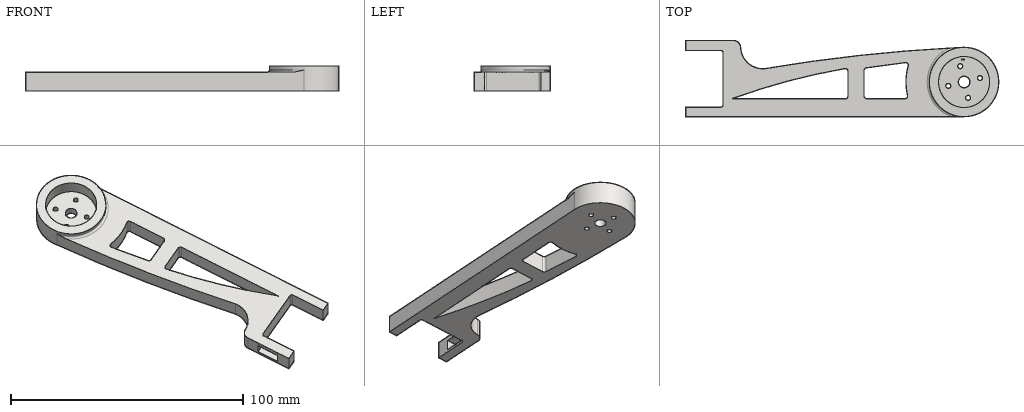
import cadquery as cq
import math

length = 135.0
plate_thickness = 8.2
total_height = 11.0
boss_radius = 15.0
boss_x = length - boss_radius
boss_y = boss_radius
base_fillet = 1.0

fork_width = 33.0
fork_slot_depth = 16.0
fork_slot_bottom = 4.2
fork_slot_top = 28.5
fork_corner_radius = 0.8
shoulder_x = 20.5
shoulder_radius = 3.2
neck_radius = 9.5
neck_low_x = 34.2
neck_low_y = 20.8

prong_slot_start = 5.8
prong_slot_end = 15.5
prong_slot_low = 1.4
prong_slot_high = 6.1

arm_mid = (69.0, 25.8)
arm_end_angle = math.radians(97)

window_bottom = 7.8
window_tip = (20.2, window_bottom)
window_arc_mid = (45.4, 15.7)
strut_start = 69.9
strut_end = 77.0
arch_height_at_strut = 20.9
slope_start = (strut_end, 20.9)
slope_end = (97.2, 23.6)
window_boss_wall = 10.1
window_fillet = 1.1

recess_diameter = 22.0
recess_floor = 4.0
center_hole_diameter = 4.9
screw_hole_diameter = 2.0
screw_circle_radius = 7.0
screw_count = 4
screw_start_angle = 14

mark_length = 1.4
mark_width = 0.3
mark_depth = 0.3
mark_offset_x = -0.4
mark_offset_y = 9.7


def box(x0, x1, y0, y1, z0, z1):
    return cq.Workplane("XY").box(x1 - x0, y1 - y0, z1 - z0, centered=False).translate((x0, y0, z0))


def boss_cylinder(radius, z0, z1):
    return cq.Workplane("XY", origin=(boss_x, boss_y, z0)).circle(radius).extrude(z1 - z0)


def arm_outline(height):
    """Outer silhouette of the whole part, without the fork slot."""
    shoulder_end = (shoulder_x + shoulder_radius, fork_width - shoulder_radius)
    shoulder_diagonal = shoulder_radius * math.sqrt(0.5)
    shoulder_mid = (
        shoulder_x + shoulder_diagonal,
        fork_width - shoulder_radius + shoulder_diagonal,
    )
    arm_end = (
        boss_x + boss_radius * math.cos(arm_end_angle),
        boss_y + boss_radius * math.sin(arm_end_angle),
    )
    return (
        cq.Workplane("XY")
        .lineTo(boss_x, 0)
        .threePointArc((length, boss_y), arm_end)
        .threePointArc(arm_mid, (neck_low_x, neck_low_y))
        .radiusArc(shoulder_end, neck_radius)
        .threePointArc(shoulder_mid, (shoulder_x, fork_width))
        .lineTo(0, fork_width)
        .close()
        .extrude(height)
    )


def boss_base_fillet():
    """Concave flare around the foot of the boss, kept within the arm outline."""
    outer = boss_radius + base_fillet
    top = plate_thickness + base_fillet
    arc_offset = base_fillet * (1 - math.sqrt(0.5))
    flare = (
        cq.Workplane("XZ")
        .moveTo(0, plate_thickness)
        .lineTo(outer, plate_thickness)
        .threePointArc((boss_radius + arc_offset, plate_thickness + arc_offset), (boss_radius, top))
        .lineTo(0, top)
        .close()
        .revolve(360, (0, 0, 0), (0, 1, 0))
        .translate((boss_x, boss_y, 0))
    )
    return flare.intersect(arm_outline(total_height))


def fork_slot():
    slot = box(-fork_slot_depth, fork_slot_depth, fork_slot_bottom, fork_slot_top, 0, plate_thickness)
    return slot.edges("|Z and >X").fillet(fork_corner_radius)


def windows():
    """Triangular and four-sided windows, separated by a strut."""
    triangle = (
        cq.Workplane("XY")
        .moveTo(*window_tip)
        .threePointArc(window_arc_mid, (strut_start, arch_height_at_strut))
        .lineTo(strut_start, window_bottom)
        .close()
        .extrude(plate_thickness)
    )
    quad = (
        cq.Workplane("XY")
        .moveTo(strut_end, window_bottom)
        .lineTo(*slope_start)
        .lineTo(*slope_end)
        .lineTo(slope_end[0], window_bottom)
        .close()
        .extrude(plate_thickness)
        .cut(boss_cylinder(boss_radius + window_boss_wall, 0, plate_thickness))
    )
    triangle = triangle.edges("|Z and >X").fillet(window_fillet)
    return triangle.union(quad.edges("|Z").fillet(window_fillet))


def boss_holes():
    center = boss_cylinder(center_hole_diameter / 2, 0, total_height)
    screws = (
        cq.Workplane("XY", origin=(boss_x, boss_y, 0))
        .polarArray(screw_circle_radius, screw_start_angle, 360, screw_count)
        .circle(screw_hole_diameter / 2)
        .extrude(total_height)
    )
    return center.union(screws)


def index_mark():
    return (
        cq.Workplane("XY", origin=(boss_x + mark_offset_x, boss_y + mark_offset_y, recess_floor))
        .rect(mark_length, mark_width)
        .extrude(-mark_depth)
    )


body = arm_outline(plate_thickness)
body = body.union(boss_cylinder(boss_radius, 0, total_height)).union(boss_base_fillet())
body = body.cut(fork_slot())
body = body.cut(
    box(prong_slot_start, prong_slot_end, fork_slot_top - fork_corner_radius, fork_width,
        prong_slot_low, prong_slot_high)
)
body = body.cut(windows())
body = body.cut(boss_cylinder(recess_diameter / 2, recess_floor, total_height))
body = body.cut(boss_holes())
result = body.cut(index_mark())